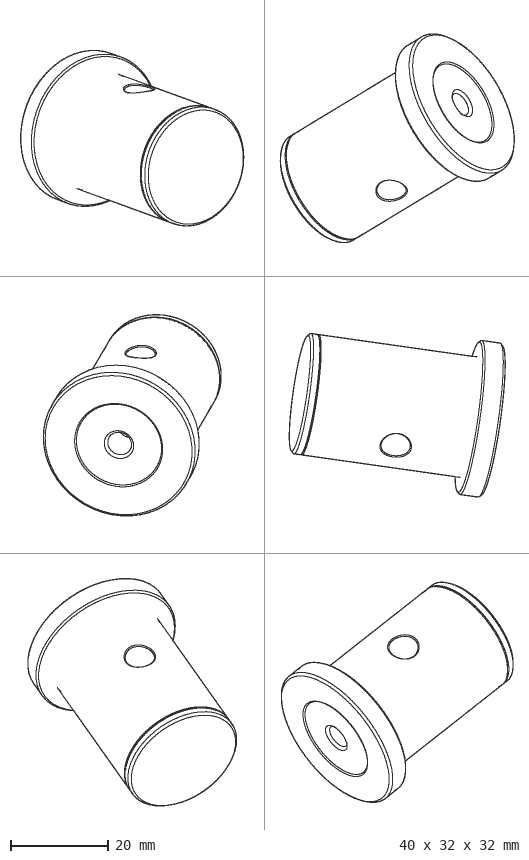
import cadquery as cq
import math

LENGTH = 40.0
FLANGE_DIAMETER = 32.0
FLANGE_THICKNESS = 4.7
BODY_DIAMETER = 25.0
END_CHAMFER = 0.5
FLANGE_BACK_CHAMFER = 0.4
ROOT_FILLET = 0.15

GROOVE_END_DISTANCE = 2.1
GROOVE_WIDTH = 0.3
GROOVE_ANGLE = 60.0

RECESS_RADIUS = 9.3
RECESS_DEPTH = 0.3

TAP_DIAMETER = 5.0
TAP_CHAMFER = 0.6
TAP_DEPTH = 10.0
DRILL_TIP_ANGLE = 120.0

CROSS_HOLE_DIAMETER = 6.0
CROSS_HOLE_CHAMFER = 0.25
CROSS_HOLE_DISTANCE = LENGTH / 2

FLANGE_RADIUS = FLANGE_DIAMETER / 2
BODY_RADIUS = BODY_DIAMETER / 2
TAP_RADIUS = TAP_DIAMETER / 2

FACE_CENTER = (-LENGTH / 2, 0, 0)


def revolve_about_axis(profile):
    return profile.close().revolve(360, (0, 0, 0), (1, 0, 0))


def revolve_points(points):
    return revolve_about_axis(cq.Workplane("XY", origin=FACE_CENTER).polyline(points))


def make_flanged_body():
    fillet_mid = ROOT_FILLET * (1 - math.sqrt(0.5))
    profile = (
        cq.Workplane("XY", origin=FACE_CENTER)
        .lineTo(0, FLANGE_RADIUS - END_CHAMFER)
        .lineTo(END_CHAMFER, FLANGE_RADIUS)
        .lineTo(FLANGE_THICKNESS - FLANGE_BACK_CHAMFER, FLANGE_RADIUS)
        .lineTo(FLANGE_THICKNESS, FLANGE_RADIUS - FLANGE_BACK_CHAMFER)
        .lineTo(FLANGE_THICKNESS, BODY_RADIUS + ROOT_FILLET)
        .threePointArc(
            (FLANGE_THICKNESS + fillet_mid, BODY_RADIUS + fillet_mid),
            (FLANGE_THICKNESS + ROOT_FILLET, BODY_RADIUS),
        )
        .lineTo(LENGTH - END_CHAMFER, BODY_RADIUS)
        .lineTo(LENGTH, BODY_RADIUS - END_CHAMFER)
        .lineTo(LENGTH, 0)
    )
    return revolve_about_axis(profile)


def make_end_groove():
    start = LENGTH - GROOVE_END_DISTANCE
    half_width = GROOVE_WIDTH / 2
    depth = half_width / math.tan(math.radians(GROOVE_ANGLE / 2))
    return revolve_points([
        (start, BODY_RADIUS),
        (start + half_width, BODY_RADIUS - depth),
        (start + GROOVE_WIDTH, BODY_RADIUS),
    ])


def make_face_recess():
    return revolve_points([
        (0, 0),
        (0, RECESS_RADIUS),
        (RECESS_DEPTH, RECESS_RADIUS - RECESS_DEPTH),
        (RECESS_DEPTH, 0),
    ])


def make_threaded_hole():
    tip_length = TAP_RADIUS / math.tan(math.radians(DRILL_TIP_ANGLE / 2))
    return revolve_points([
        (RECESS_DEPTH, 0),
        (RECESS_DEPTH, TAP_RADIUS + TAP_CHAMFER),
        (RECESS_DEPTH + TAP_CHAMFER, TAP_RADIUS),
        (TAP_DEPTH, TAP_RADIUS),
        (TAP_DEPTH + tip_length, 0),
    ])


def add_cross_hole(part):
    hole = (
        cq.Workplane("XY", origin=FACE_CENTER)
        .center(CROSS_HOLE_DISTANCE, 0)
        .circle(CROSS_HOLE_DIAMETER / 2)
        .extrude(BODY_DIAMETER, both=True)
    )
    return part.cut(hole).edges("%BSPLINE").chamfer(CROSS_HOLE_CHAMFER)


result = add_cross_hole(make_flanged_body())
result = result.cut(make_end_groove())
result = result.cut(make_face_recess())
result = result.cut(make_threaded_hole())